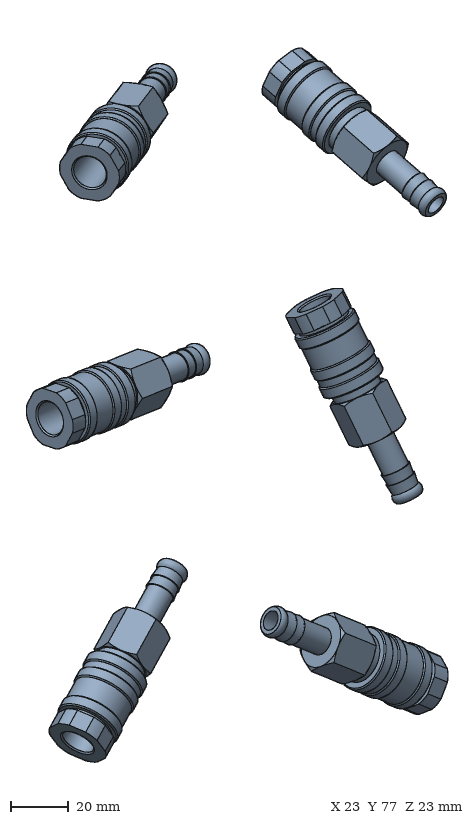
import cadquery as cq
import math

length = 77.0

nut_length = 6.55
nut_radius = 11.0
nut_across_flats = 21.1

sleeve_start = 7.9
sleeve_end = 31.9
sleeve_radius = 11.0
collar_radius = 11.51
collar_length = 4.4
collar_chamfer = 0.5
middle_collar_start = 20.5
collar_starts = (sleeve_start, middle_collar_start, sleeve_end - collar_length)
front_neck_radius = 9.5
rear_neck_radius = 8.9

hex_start = 34.9
hex_end = 52.0
hex_across_flats = 19.0
hex_chamfer_angle = 30.0

tail_radius = 5.0
barb_radius = 5.5
barb_length = 3.9
barb_count = 2
bead_radius = 5.7
bead_length = 3.55
bead_start = length - bead_length

bore_radius = 3.55
socket_radius = 6.0
socket_depth = 23.1
socket_mouth_radius = 6.55
socket_chamfer = socket_mouth_radius - socket_radius


def cylinder(radius, start, end):
    """Round bar on the Y axis between two Y positions."""
    return cq.Workplane("XZ", origin=(0, start, 0)).circle(radius).extrude(start - end)


def hexagon(across_flats, start, end):
    """Hexagonal bar along Y with corners on +X and -X."""
    across_corners = across_flats / math.cos(math.radians(30))
    return cq.Workplane("XZ", origin=(0, start, 0)).polygon(6, across_corners).extrude(start - end)


def revolve_about_y(profile):
    return profile.close().revolve(360, (0, 0, 0), (0, 1, 0))


def front_nut():
    disc = cylinder(nut_radius, 0, nut_length)
    return disc.intersect(hexagon(nut_across_flats, 0, nut_length))


def sleeve():
    body = cylinder(front_neck_radius, nut_length, sleeve_start)
    body = body.union(cylinder(sleeve_radius, sleeve_start, sleeve_end))
    for start in collar_starts:
        collar = cylinder(collar_radius, start, start + collar_length)
        body = body.union(collar.edges().chamfer(collar_chamfer))
    return body.union(cylinder(rear_neck_radius, sleeve_end, hex_start))


def rear_hexagon():
    face_radius = hex_across_flats / 2
    corner_radius = face_radius / math.cos(math.radians(30))
    bevel = (corner_radius - face_radius) * math.tan(math.radians(hex_chamfer_angle))
    envelope = revolve_about_y(
        cq.Workplane("XY")
        .moveTo(0, hex_start)
        .lineTo(face_radius, hex_start)
        .lineTo(corner_radius, hex_start + bevel)
        .lineTo(corner_radius, hex_end - bevel)
        .lineTo(face_radius, hex_end)
        .lineTo(0, hex_end)
    )
    return hexagon(hex_across_flats, hex_start, hex_end).intersect(envelope)


def hose_tail():
    profile = cq.Workplane("XY").moveTo(0, hex_end)
    profile = profile.lineTo(tail_radius, hex_end)
    profile = profile.lineTo(tail_radius, bead_start - barb_count * barb_length)
    for index in range(barb_count, 0, -1):
        step = bead_start - index * barb_length
        profile = profile.lineTo(barb_radius, step)
        profile = profile.lineTo(tail_radius, step + barb_length)
    profile = profile.threePointArc((bead_radius, length - bead_length / 2), (tail_radius, length))
    return revolve_about_y(profile.lineTo(0, length))


def stepped_bore():
    return revolve_about_y(
        cq.Workplane("XY")
        .lineTo(socket_mouth_radius, 0)
        .lineTo(socket_radius, socket_chamfer)
        .lineTo(socket_radius, socket_depth)
        .lineTo(bore_radius, socket_depth)
        .lineTo(bore_radius, length)
        .lineTo(0, length)
    )


solid_body = front_nut().union(sleeve()).union(rear_hexagon()).union(hose_tail())
result = solid_body.cut(stepped_bore())